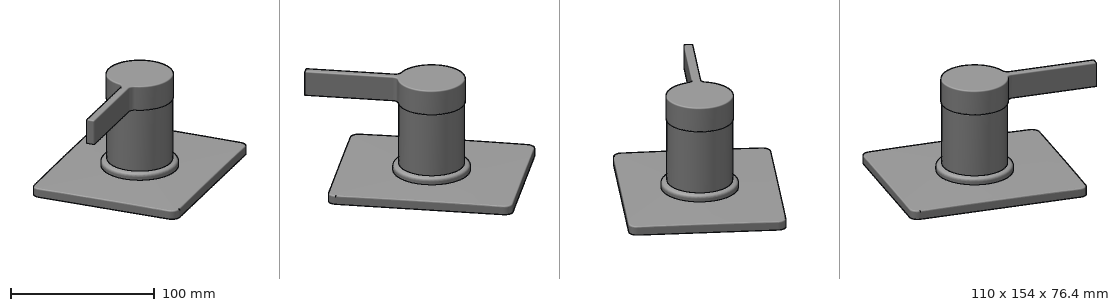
import cadquery as cq
import math

PLATE_WIDTH = 110.0
PLATE_LENGTH = 130.0
PLATE_CORNER_RADIUS = 6.0
PLATE_CENTRE_HEIGHT = 7.0
DOME_RADIUS = 5000.0
PLATE_EDGE_FILLET = 1.0

BODY_RADIUS = 23.0
BODY_TOP_FILLET = 1.0

COLLAR_RADIUS = 27.1
COLLAR_TOP = 12.0
COLLAR_SLOPE = 15.0
COLLAR_RIM_FILLET = 2.2

TOTAL_HEIGHT = 76.4
HEAD_HEIGHT = 18.1
HEAD_RADIUS = 23.6
LEVER_WIDTH = 6.4
LEVER_TIP_Y = -89.0
LEVER_BLEND_RADIUS = 4.0
LEVER_TIP_FILLET = 1.0
HANDLE_TOP_FILLET = 1.0
HANDLE_BOTTOM_FILLET = 0.5

HEAD_BOTTOM = TOTAL_HEIGHT - HEAD_HEIGHT


def make_plate():
    blank = (
        cq.Workplane("XY")
        .rect(PLATE_WIDTH, PLATE_LENGTH)
        .extrude(2 * PLATE_CENTRE_HEIGHT)
        .edges("|Z")
        .fillet(PLATE_CORNER_RADIUS)
    )
    ball_centre = (0, 0, PLATE_CENTRE_HEIGHT - DOME_RADIUS)
    dome = cq.Workplane("XY").sphere(DOME_RADIUS).rotate((0, 0, 0), (1, 0, 0), 90).translate(ball_centre)
    return blank.intersect(dome).faces(">Z").edges().fillet(PLATE_EDGE_FILLET)


def make_body():
    body = cq.Workplane("XY").circle(BODY_RADIUS).extrude(HEAD_BOTTOM)
    return body.faces(">Z").edges().fillet(BODY_TOP_FILLET)


def make_collar():
    rim_height = COLLAR_TOP - (COLLAR_RADIUS - BODY_RADIUS) * math.tan(math.radians(COLLAR_SLOPE))
    collar = (
        cq.Workplane("XZ")
        .lineTo(COLLAR_RADIUS, 0)
        .lineTo(COLLAR_RADIUS, rim_height)
        .lineTo(BODY_RADIUS, COLLAR_TOP)
        .lineTo(0, COLLAR_TOP)
        .close()
        .revolve(360, (0, 0, 0), (0, 1, 0))
    )
    rim = cq.selectors.NearestToPointSelector((0, 0, rim_height))
    return collar.edges("%CIRCLE").edges(rim).fillet(COLLAR_RIM_FILLET)


def make_handle():
    base = cq.Workplane("XY").workplane(offset=HEAD_BOTTOM)
    head = base.circle(HEAD_RADIUS).extrude(HEAD_HEIGHT)
    lever = base.center(0, LEVER_TIP_Y / 2).rect(LEVER_WIDTH, -LEVER_TIP_Y).extrude(HEAD_HEIGHT)
    handle = head.union(lever)

    handle = handle.edges("|Z").edges("<Y").fillet(LEVER_TIP_FILLET)
    joint_y = -math.sqrt(HEAD_RADIUS**2 - (LEVER_WIDTH / 2) ** 2)
    for side in (-1, 1):
        joint = (side * LEVER_WIDTH / 2, joint_y, TOTAL_HEIGHT - HEAD_HEIGHT / 2)
        handle = handle.edges(cq.selectors.NearestToPointSelector(joint)).fillet(LEVER_BLEND_RADIUS)

    handle = handle.faces(">Z").edges().fillet(HANDLE_TOP_FILLET)
    return handle.faces("<Z").edges().fillet(HANDLE_BOTTOM_FILLET)


result = make_plate().union(make_collar()).union(make_body()).union(make_handle())